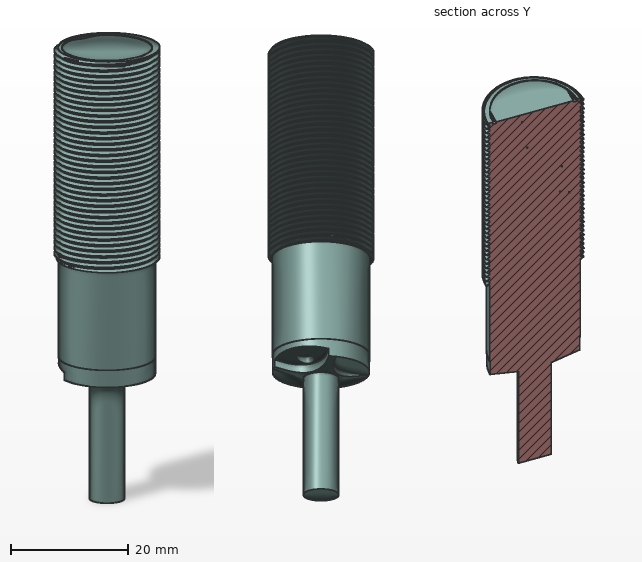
import cadquery as cq
import math

total_height = 80.2
thread_bottom = 42.8
body_bottom = 25.25
rim_bottom = 22.2
cone_bottom = 21.1
cable_diameter = 6.0
cap_diameter = 16.5

thread_diameter = 18.0
thread_pitch = thread_diameter / 18
thread_depth = 0.68
thread_base_width = 0.9
thread_embed = 0.2
first_crest_offset = 0.1

pocket_wall = 0.65
pocket_corner_radius = 6.0
roof_height = 24.1
roof_slope = 17
lamp_diameter = 3.05
lamp_axis_radius = 5.1
lamp_depth = 0.8

face_diameter = 15.4
face_width = 14.3
face_recess = 0.2
flat_recess = 0.5

thread_radius = thread_diameter / 2
body_radius = thread_radius - thread_depth
cap_radius = cap_diameter / 2
cable_radius = cable_diameter / 2


def make_shaft():
    """Turned body, end cap with its conical underside, and the cable."""
    profile = [
        (0, 0),
        (cable_radius, 0),
        (cable_radius, cone_bottom),
        (cap_radius, rim_bottom),
        (cap_radius, body_bottom),
        (body_radius, body_bottom),
        (body_radius, total_height),
        (0, total_height),
    ]
    return cq.Workplane("XZ").polyline(profile).close().revolve(360, (0, 0), (0, 1))


def make_thread():
    """Sharp helical ridge, trimmed flat at both ends of the threaded length."""
    start = thread_bottom + first_crest_offset - thread_pitch
    turns = math.ceil((total_height - start) / thread_pitch) + 1
    root_radius = body_radius - thread_embed
    half_base = thread_base_width / 2 * (1 + thread_embed / thread_depth)

    def helix(radius, shift):
        wire = cq.Wire.makeHelix(thread_pitch, turns * thread_pitch, radius)
        return wire.translate(cq.Vector(0, 0, start + shift))

    crest = helix(thread_radius, 0)
    lower = helix(root_radius, -half_base)
    upper = helix(root_radius, half_base)
    flanks = ((lower, crest), (crest, upper), (upper, lower))
    faces = [cq.Face.makeRuledSurface(first, second) for first, second in flanks]
    for end in (0, turns * thread_pitch):
        corners = [
            cq.Vector(root_radius, 0, start + end - half_base),
            cq.Vector(thread_radius, 0, start + end),
            cq.Vector(root_radius, 0, start + end + half_base),
        ]
        faces.append(cq.Face.makeFromWires(cq.Wire.makePolygon(corners, close=True)))
    ridge = cq.Workplane(obj=cq.Solid.makeSolid(cq.Shell.makeShell(faces)))
    length = total_height - thread_bottom
    envelope = cq.Workplane("XY").workplane(offset=thread_bottom).circle(thread_diameter).extrude(length)
    return ridge.intersect(envelope)


def make_pocket(height):
    """Rounded quadrant open to -X, -Y and below, reaching up to the given height."""
    outside = thread_diameter
    return (
        cq.Workplane("XY")
        .rect(outside, outside)
        .extrude(height)
        .edges("|Z and >X and >Y")
        .fillet(pocket_corner_radius)
        .translate((-pocket_wall - outside / 2, -pocket_wall - outside / 2, 0))
    )


def make_lamp_notch():
    """Tall pocket whose roof slopes down towards the axis, with a lamp hole in the roof."""
    rise = math.tan(math.radians(roof_slope))
    axis_height = roof_height - cap_radius * rise
    reach = 2 * thread_diameter
    below_roof = (
        cq.Workplane("XZ")
        .polyline([(0, 0), (reach, 0), (reach, axis_height + reach * rise), (0, axis_height)])
        .close()
        .extrude(reach, both=True)
    )
    lamp_top = axis_height + lamp_axis_radius * rise + lamp_depth
    lamp = (
        cq.Workplane("XY")
        .workplane(offset=rim_bottom)
        .center(lamp_axis_radius, 0)
        .circle(lamp_diameter / 2)
        .extrude(lamp_top - rim_bottom)
    )
    turn = ((0, 0, 0), (0, 0, 1), -135)
    return make_pocket(body_bottom).intersect(below_roof.rotate(*turn)).union(lamp.rotate(*turn))


def make_face_recess():
    """Shallow sensing face, with a deeper segment beside each of its two flats."""
    top = cq.Workplane("XY").workplane(offset=total_height)
    face = top.circle(face_diameter / 2).extrude(-face_recess)
    segments = top.circle(face_diameter / 2).extrude(-flat_recess)
    segments = segments.cut(top.rect(face_width, face_diameter).extrude(-flat_recess))
    return face.union(segments)


shaft = make_shaft().cut(make_lamp_notch())
low_pocket = make_pocket(rim_bottom)
for angle in (90, 180, 270):
    shaft = shaft.cut(low_pocket.rotate((0, 0, 0), (0, 0, 1), angle))
result = shaft.cut(make_face_recess()).union(make_thread())